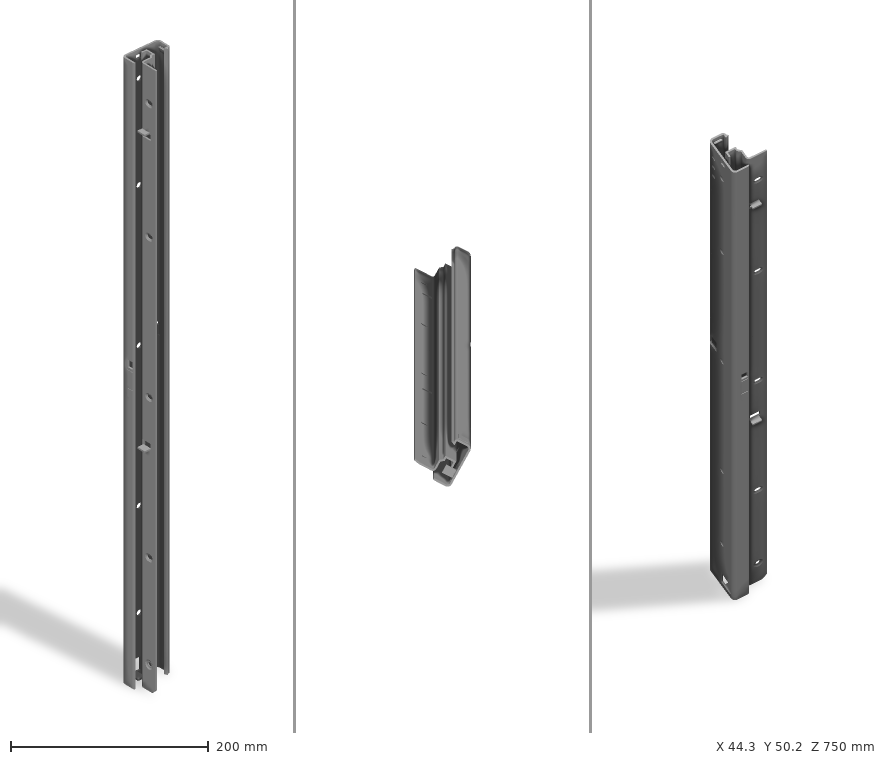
import cadquery as cq


LENGTH = 750.0
TOTAL_WIDTH = 44.3
TOTAL_HEIGHT = 50.2

RAIL_WALL = 2.2
RAIL_CORNER_RADIUS = 5.0
PAD_HEIGHT = 0.4
RAIL_HALF = TOTAL_HEIGHT / 2 - PAD_HEIGHT
RAIL_INNER_HALF = RAIL_HALF - RAIL_WALL
RAIL_FLANGE = 19.0
FLANGE_BEVEL_WIDTH = 2.0
FLANGE_BEVEL_DEPTH = 0.6
LIP_CORNER_RADIUS = 3.0
LIP_TIP_X = 21.0
LIP_TIP_Y = 19.3
LIP_HEEL_Y = 17.5
LIP_FLARE_TOP = 21.0

WEB_HOLE_DIAMETER = 7.0
WEB_HOLE_Y = -2.7
WEB_HOLE_ZS = (75.0, 203.0, 395.0, 587.0, 715.0)
END_HOLE_WIDTH = 7.0
END_HOLE_HEIGHT = 5.0
END_HOLE_Y = -4.0
END_HOLE_Z = 742.0
WEB_SLOT_LENGTH = 6.5
WEB_SLOT_HEIGHT = 4.0
WEB_SLOT_Y = 14.0
WEB_SLOT_PITCH = 16.0
WEB_SLOT_COUNT = 3
WEB_SLOT_TOP_Z = 731.0

STOP_BOTTOM = 8.0
STOP_TOP = 23.0
STOP_Z = 406.0
STOP_WINDOW_HEIGHT = 16.0
STOP_TAB_HEIGHT = 12.0
STOP_TAB_TOP = 21.5
STOP_SLOPE_END = 12.0
STOP_SHIFT = 2.8

CATCH_Y = (-19.0, -1.0)
CATCH_Z = (6.0, 22.0)
LEDGE_Y = (-14.7, -5.5)
LEDGE_REACH = 14.0

LOWER_FEATURE_X = (9.5, RAIL_FLANGE - FLANGE_BEVEL_WIDTH)
LOWER_WINDOW_Z = (382.0, 391.0)
LOWER_PADS_Z = ((347.0, 357.0), (360.0, 379.0))
UPPER_PAD_X = (5.0, 16.5)
UPPER_PAD_Z = (5.0, 20.0)
LOUVRE_X = (1.8, 14.5)
LOUVRE_Z = (738.0, 744.5)
LOUVRE_DROP = 2.4

BRACKET_WALL = 2.0
BRACKET_BOTTOM = 2.3
HOOK_NEAR_X = 7.0
HOOK_TOP = 3.0
HOOK_DEPTH = 7.5
HOOK_FAR_X = 19.5
JOG_TOP = -1.0
JOG_BOTTOM = -4.0
JOG_WALL_SHIFT = 1.0
LEG_FAR_X = 23.0
LEG_NEAR_X = LEG_FAR_X - BRACKET_WALL
FLANGE_TOP = -15.5
FLANGE_BOTTOM = FLANGE_TOP - BRACKET_WALL
BEND_INNER_RADIUS = 2.0
BEND_OUTER_RADIUS = BEND_INNER_RADIUS + BRACKET_WALL
FLANGE_CORNER_CHAMFER = 5.5

MOUNT_X = 33.9
MOUNT_SLOT_ZS = (162.0, 354.0, 546.0, 706.0)
MOUNT_ROUND_Z = 34.0
MOUNT_SLOT_LENGTH = 8.0
MOUNT_HOLE_DIAMETER = 5.0
MOUNT_SINK_LENGTH = 11.5
MOUNT_SINK_DIAMETER = 9.0
MOUNT_SINK_DEPTH = 1.0
MOUNT_SINK_TAPER = 60.0

TAB_X = (23.5, 34.5)
TAB_WINDOW_X = (23.5, 36.0)
TAB_TIP = -23.9
TAB_THICKNESS = 2.0
TAB_WINDOW_HEIGHT = 7.0
UPPER_TAB_WINDOW_Z = 662.5
LOWER_TAB_WINDOW_Z = 292.5


def block(x, y, z):
    """Box given by its (low, high) limits along each axis."""
    sizes = [high - low for low, high in (x, y, z)]
    return cq.Workplane("XY").box(*sizes, centered=False).translate((x[0], y[0], z[0]))


def fillet_bend(body, x, y, radius):
    """Round the lengthwise edge that passes through (x, y)."""
    return body.edges("|Z").edges(cq.NearestToPointSelector((x, y, LENGTH / 2))).fillet(radius)



def rail_channel():
    inner_lip_x = RAIL_FLANGE - RAIL_WALL
    outline = [
        (0, -RAIL_HALF),
        (RAIL_FLANGE - FLANGE_BEVEL_WIDTH, -RAIL_HALF),
        (RAIL_FLANGE, -RAIL_HALF + FLANGE_BEVEL_DEPTH),
        (RAIL_FLANGE, -RAIL_INNER_HALF),
        (RAIL_WALL, -RAIL_INNER_HALF),
        (RAIL_WALL, RAIL_INNER_HALF),
        (inner_lip_x, RAIL_INNER_HALF),
        (inner_lip_x, LIP_HEEL_Y),
        (LIP_TIP_X, LIP_TIP_Y),
        (RAIL_FLANGE, LIP_FLARE_TOP),
        (RAIL_FLANGE, RAIL_HALF),
        (0, RAIL_HALF),
    ]
    channel = cq.Workplane("XY").polyline(outline).close().extrude(LENGTH)
    for side in (-1, 1):
        channel = fillet_bend(channel, 0, side * RAIL_HALF, RAIL_CORNER_RADIUS)
        inner_radius = RAIL_CORNER_RADIUS - RAIL_WALL
        channel = fillet_bend(channel, RAIL_WALL, side * RAIL_INNER_HALF, inner_radius)
    return fillet_bend(channel, RAIL_FLANGE, RAIL_HALF, LIP_CORNER_RADIUS)


def cut_web_holes(rail):
    slots = [(WEB_SLOT_Y, WEB_SLOT_TOP_Z - i * WEB_SLOT_PITCH) for i in range(WEB_SLOT_COUNT)]
    holes = [(WEB_HOLE_Y, z) for z in WEB_HOLE_ZS]
    web = cq.Workplane("YZ")
    rail = rail.cut(web.pushPoints(holes).circle(WEB_HOLE_DIAMETER / 2).extrude(RAIL_WALL))
    rail = rail.cut(web.pushPoints(slots).slot2D(WEB_SLOT_LENGTH, WEB_SLOT_HEIGHT).extrude(RAIL_WALL))
    end_hole = web.center(END_HOLE_Y, END_HOLE_Z).rect(END_HOLE_WIDTH, END_HOLE_HEIGHT)
    return rail.cut(end_hole.extrude(RAIL_WALL))


def add_stop(rail):
    half = STOP_WINDOW_HEIGHT / 2
    window = block((0, RAIL_CORNER_RADIUS), (STOP_BOTTOM, STOP_TOP), (STOP_Z - half, STOP_Z + half))
    tab = (
        cq.Workplane("XY")
        .polyline([
            (0, STOP_BOTTOM),
            (STOP_SHIFT, STOP_SLOPE_END),
            (STOP_SHIFT, STOP_TAB_TOP),
            (STOP_SHIFT + RAIL_WALL, STOP_TAB_TOP),
            (STOP_SHIFT + RAIL_WALL, STOP_SLOPE_END),
            (RAIL_WALL, STOP_BOTTOM),
        ])
        .close()
        .extrude(STOP_TAB_HEIGHT)
        .translate((0, 0, STOP_Z - STOP_TAB_HEIGHT / 2))
    )
    return rail.cut(window).union(tab)


def add_catch(rail):
    ledge = block((0, LEDGE_REACH), LEDGE_Y, (CATCH_Z[0] - RAIL_WALL, CATCH_Z[0]))
    return rail.cut(block((0, RAIL_WALL), CATCH_Y, CATCH_Z)).union(ledge)


def add_flange_features(rail):
    rail = rail.cut(block(LOWER_FEATURE_X, (-RAIL_HALF, -RAIL_INNER_HALF), LOWER_WINDOW_Z))
    for pad_z in LOWER_PADS_Z:
        rail = rail.union(block(LOWER_FEATURE_X, (-RAIL_HALF - PAD_HEIGHT, -RAIL_HALF), pad_z))
    return rail.union(block(UPPER_PAD_X, (RAIL_HALF, RAIL_HALF + PAD_HEIGHT), UPPER_PAD_Z))


def add_louvre(rail):
    """Window in the upper flange near its end, with a tongue sloping inward from the lower edge."""
    low, high = LOUVRE_Z
    tongue = (
        cq.Workplane("YZ")
        .polyline([
            (RAIL_HALF, low),
            (RAIL_HALF - LOUVRE_DROP, high),
            (RAIL_INNER_HALF - LOUVRE_DROP, high),
            (RAIL_INNER_HALF, low),
        ])
        .close()
        .extrude(LOUVRE_X[1] - RAIL_CORNER_RADIUS)
        .translate((RAIL_CORNER_RADIUS, 0, 0))
    )
    window = block(LOUVRE_X, (RAIL_INNER_HALF, RAIL_HALF), LOUVRE_Z)
    return rail.cut(window).union(tongue)


def build_rail():
    rail = cut_web_holes(rail_channel())
    rail = add_stop(rail)
    rail = add_catch(rail)
    rail = add_flange_features(rail)
    return add_louvre(rail)



def bracket_strip():
    outline = [
        (HOOK_NEAR_X, HOOK_TOP - HOOK_DEPTH),
        (HOOK_NEAR_X, HOOK_TOP),
        (HOOK_FAR_X, HOOK_TOP),
        (HOOK_FAR_X, JOG_TOP),
        (LEG_FAR_X, JOG_BOTTOM),
        (LEG_FAR_X, FLANGE_TOP),
        (TOTAL_WIDTH, FLANGE_TOP),
        (TOTAL_WIDTH, FLANGE_BOTTOM),
        (LEG_NEAR_X, FLANGE_BOTTOM),
        (LEG_NEAR_X, JOG_BOTTOM - JOG_WALL_SHIFT),
        (HOOK_FAR_X - BRACKET_WALL, JOG_TOP - JOG_WALL_SHIFT),
        (HOOK_FAR_X - BRACKET_WALL, HOOK_TOP - BRACKET_WALL),
        (HOOK_NEAR_X + BRACKET_WALL, HOOK_TOP - BRACKET_WALL),
        (HOOK_NEAR_X + BRACKET_WALL, HOOK_TOP - HOOK_DEPTH),
    ]
    strip = cq.Workplane("XY", origin=(0, 0, BRACKET_BOTTOM)).polyline(outline).close()
    strip = strip.extrude(LENGTH - BRACKET_BOTTOM)
    strip = fillet_bend(strip, LEG_NEAR_X, FLANGE_BOTTOM, BEND_OUTER_RADIUS)
    strip = fillet_bend(strip, LEG_FAR_X, FLANGE_TOP, BEND_INNER_RADIUS)
    return strip.edges("|Y and >X and <Z").chamfer(FLANGE_CORNER_CHAMFER)


def countersunk_cutter(z, length, sink_length):
    """Cutter for one mounting hole, its tapered sink opening on the outer flange face."""
    face = cq.Workplane("XZ", origin=(MOUNT_X, FLANGE_BOTTOM, z))
    if length > MOUNT_HOLE_DIAMETER:
        through = face.slot2D(length, MOUNT_HOLE_DIAMETER).extrude(-BRACKET_WALL)
        wide = face.slot2D(sink_length, MOUNT_SINK_DIAMETER)
    else:
        through = face.circle(MOUNT_HOLE_DIAMETER / 2).extrude(-BRACKET_WALL)
        wide = face.circle(sink_length / 2)
    return through.union(wide.extrude(-MOUNT_SINK_DEPTH, taper=MOUNT_SINK_TAPER))


def add_flange_tab(bracket, window_z, tab_z):
    """Window in the flange and the tab bent outward along one of its edges."""
    window = block(TAB_WINDOW_X, (FLANGE_BOTTOM, FLANGE_TOP), (window_z, window_z + TAB_WINDOW_HEIGHT))
    tab = block(TAB_X, (TAB_TIP, FLANGE_TOP), (tab_z, tab_z + TAB_THICKNESS))
    return bracket.cut(window).union(tab)


def build_bracket():
    bracket = bracket_strip()
    for z in MOUNT_SLOT_ZS:
        bracket = bracket.cut(countersunk_cutter(z, MOUNT_SLOT_LENGTH, MOUNT_SINK_LENGTH))
    bracket = bracket.cut(countersunk_cutter(MOUNT_ROUND_Z, MOUNT_HOLE_DIAMETER, MOUNT_SINK_LENGTH))
    upper_tab_z = UPPER_TAB_WINDOW_Z + TAB_WINDOW_HEIGHT
    bracket = add_flange_tab(bracket, UPPER_TAB_WINDOW_Z, upper_tab_z)
    return add_flange_tab(bracket, LOWER_TAB_WINDOW_Z, LOWER_TAB_WINDOW_Z - TAB_THICKNESS)


rail = build_rail()
bracket = build_bracket()
result = cq.Compound.makeCompound([*rail.solids().vals(), *bracket.solids().vals()])